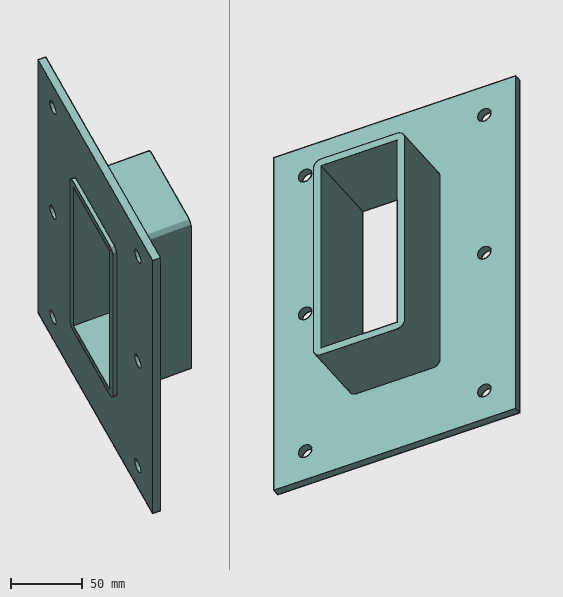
import cadquery as cq

opening_width = 60.5
opening_height = 159.5
wall = 6.0
tube_length = 60.0
corner_radius = 6.0
tube_width = opening_width + 2 * wall
tube_height = opening_height + 2 * wall

flange_margin = 60.0
flange_thickness = 6.0
tube_protrusion = 3.0
flange_width = tube_width + 2 * flange_margin
flange_height = tube_height + 2 * flange_margin

hole_diameter = 10.5
hole_inset = 25.0
hole_half_span_x = flange_width / 2 - hole_inset
hole_half_span_z = flange_height / 2 - hole_inset


def block(width, length, height, y_start):
    """Block centred on the Y axis, running from y_start towards +Y."""
    return cq.Workplane("XY").box(width, length, height).translate((0, y_start + length / 2, 0))


def mounting_holes():
    """Cylinders through the flange at the mounting hole positions."""
    positions = [
        (x, z)
        for x in (-hole_half_span_x, hole_half_span_x)
        for z in (-hole_half_span_z, 0, hole_half_span_z)
    ]
    return (
        cq.Workplane("XZ")
        .pushPoints(positions)
        .circle(hole_diameter / 2)
        .extrude(-flange_thickness)
    )


flange = block(flange_width, flange_thickness, flange_height, 0).cut(mounting_holes())
tube = block(tube_width, tube_length, tube_height, -tube_protrusion).edges("|Y").fillet(corner_radius)
opening = block(opening_width, tube_length, opening_height, -tube_protrusion)

result = flange.union(tube).cut(opening)